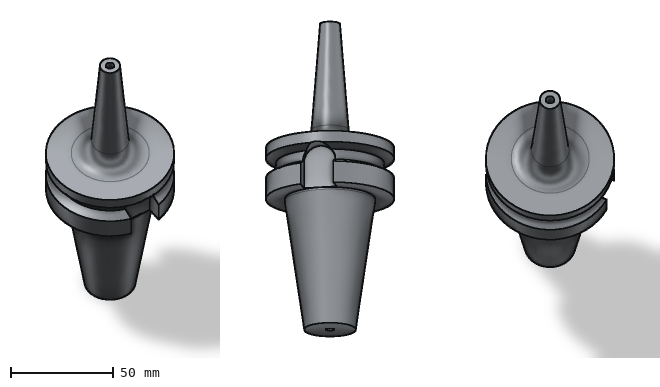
import cadquery as cq
import math

total_height = 155.4
gauge_height = 65.5
flange_bottom = 66.4
flange_top = 92.5

gauge_radius = 22.2
taper_ratio = 7 / 24
shank_end_radius = gauge_radius - gauge_height * taper_ratio / 2

flange_diameter = 63.0
flange_radius = flange_diameter / 2
groove_radius = 26.5
upper_band_height = 5.6
groove_side_height = 2.3
groove_floor_height = 5.1

nose_tip_radius = 5.0
blend_radius = 10.0
blend_foot_radius = 19.1
bore_diameter = 4.0

slot_width = 16.3
slot_top = 87.3
slot_floor_distance = 22.5


def make_body():
    """Revolve the half profile of shank, flange and nose about Z."""
    groove_top_edge = flange_top - upper_band_height
    groove_floor_top = groove_top_edge - groove_side_height
    groove_floor_bottom = groove_floor_top - groove_floor_height
    groove_bottom_edge = groove_floor_bottom - groove_side_height

    blend_center_z = flange_top + blend_radius
    tip_offset = blend_foot_radius - nose_tip_radius
    tip_rise = total_height - blend_center_z
    tip_distance = math.hypot(tip_offset, tip_rise)
    end_angle = math.atan2(tip_offset, tip_rise) - math.asin(blend_radius / tip_distance)
    mid_angle = (end_angle + math.pi / 2) / 2

    def blend_point(angle):
        return (
            blend_foot_radius - blend_radius * math.cos(angle),
            blend_center_z - blend_radius * math.sin(angle),
        )

    profile = (
        cq.Workplane("XZ")
        .moveTo(0, 0)
        .lineTo(shank_end_radius, 0)
        .lineTo(gauge_radius, gauge_height)
        .lineTo(gauge_radius, flange_bottom)
        .lineTo(flange_radius, flange_bottom)
        .lineTo(flange_radius, groove_bottom_edge)
        .lineTo(groove_radius, groove_floor_bottom)
        .lineTo(groove_radius, groove_floor_top)
        .lineTo(flange_radius, groove_top_edge)
        .lineTo(flange_radius, flange_top)
        .lineTo(blend_foot_radius, flange_top)
        .threePointArc(blend_point(mid_angle), blend_point(end_angle))
        .lineTo(nose_tip_radius, total_height)
        .lineTo(0, total_height)
        .close()
    )
    return profile.revolve(360, (0, 0, 0), (0, 1, 0))


def make_drive_slot(side):
    """Round-topped slot cutter, open at the flange bottom; side is +1 or -1 along X."""
    half_width = slot_width / 2
    return (
        cq.Workplane("YZ", origin=(side * slot_floor_distance, 0, 0))
        .moveTo(-half_width, flange_bottom)
        .lineTo(half_width, flange_bottom)
        .lineTo(half_width, slot_top - half_width)
        .threePointArc((0, slot_top), (-half_width, slot_top - half_width))
        .close()
        .extrude(side * flange_radius)
    )


def make_bore():
    """Straight bore along the full length of the axis."""
    return cq.Workplane("XY").circle(bore_diameter / 2).extrude(total_height)


result = make_body().cut(make_bore())
for slot_side in (-1, 1):
    result = result.cut(make_drive_slot(slot_side))